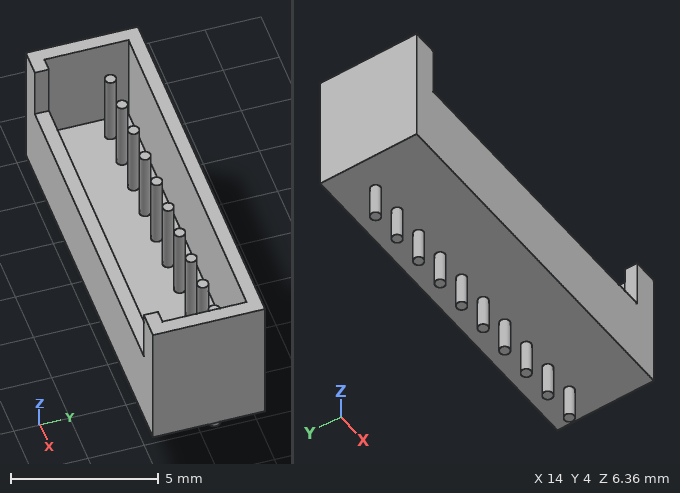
import cadquery as cq

length = 14.0
width = 4.0
height = 5.0
wall = 0.5
floor_thickness = 1.4

notch_margin = 1.0
notch_depth = 2.02

pin_count = 10
pin_row_span = 11.42
pin_pitch = pin_row_span / (pin_count - 1)
pin_diameter = 0.39
pin_tail = 1.36
pin_tip_recess = 0.84
pin_row_to_back = 1.4
pin_y = width / 2 - pin_row_to_back
pin_length = pin_tail + height - pin_tip_recess


def make_housing():
    """Box with a rectangular cavity and a notched front wall."""
    body = cq.Workplane("XY").box(length, width, height, centered=(True, True, False))
    cavity = (
        cq.Workplane("XY", origin=(0, 0, floor_thickness))
        .rect(length - 2 * wall, width - 2 * wall)
        .extrude(height - floor_thickness)
    )
    notch = (
        cq.Workplane("XY", origin=(0, (wall - width) / 2, height - notch_depth))
        .rect(length - 2 * notch_margin, wall)
        .extrude(notch_depth)
    )
    return body.cut(cavity).cut(notch)


def make_pins():
    """Pins that pass through the floor and stop below the rim."""
    return (
        cq.Workplane("XY", origin=(0, pin_y, -pin_tail))
        .rarray(pin_pitch, 0.14, pin_count, 1)
        .circle(pin_diameter / 2)
        .extrude(pin_length)
    )


result = make_housing().union(make_pins())